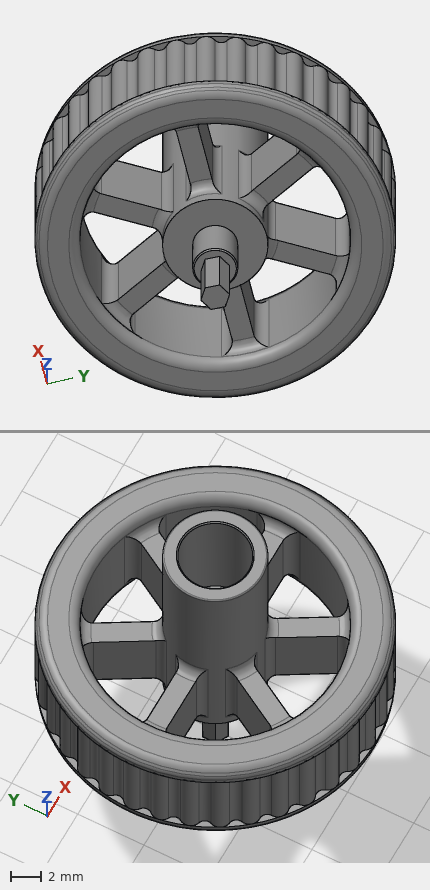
import cadquery as cq
import math

rim_height = 8.0
post_top = 16.5
pin_length = 3.17
hex_length = 3.85

rim_radius = 12.0
rim_bore_radius = 9.0
rim_chamfer = 0.5
rim_face_blend = 0.8
rim_side_blend = 0.4
rim_bore_fillet = 0.75

ridge_count = 36
ridge_round = 0.77
groove_round = 0.55
flange_height = 1.0
flute_length = rim_height - 2 * flange_height

spoke_count = 6
spoke_width = 1.5
spoke_recess = 1.5
spoke_end_fillet = 0.72
window_corner = 0.75

post_radius = 3.5
bore_radius = 2.5
bore_depth = post_top - rim_height
pin_diameter = 3.0
hex_across_flats = 1.7
edge_break = 0.1


def rim():
    """Ring with softened outer chamfers and rounded bore edges."""
    ring = cq.Workplane("XY").circle(rim_radius).extrude(rim_height)
    ring = ring.faces("|Z").edges().chamfer(rim_chamfer)
    ring = ring.faces("|Z").edges().fillet(rim_face_blend)
    ring = ring.faces("%CYLINDER").edges("%CIRCLE").fillet(rim_side_blend)
    bore = cq.Workplane("XY").circle(rim_bore_radius).extrude(rim_height)
    ring = ring.cut(bore)
    bore_edges = cq.selectors.RadiusNthSelector(0)
    return ring.faces("|Z").edges(bore_edges).fillet(rim_bore_fillet)


def polar(radius, angle):
    return (radius * math.cos(angle), radius * math.sin(angle))


def fluted_core():
    """Prism whose outline alternates tangent ridge and groove arcs."""
    half_pitch = math.pi / ridge_count
    ridge_centre = rim_radius - ridge_round
    reach = ridge_round + groove_round
    offset = ridge_centre * math.sin(half_pitch)
    groove_centre = ridge_centre * math.cos(half_pitch) + math.sqrt(reach**2 - offset**2)
    share = ridge_round / reach
    groove_x, groove_y = polar(groove_centre, half_pitch)
    blend_x = ridge_centre + share * (groove_x - ridge_centre)
    blend_y = share * groove_y
    blend_radius = math.hypot(blend_x, blend_y)
    blend_angle = math.atan2(blend_y, blend_x)

    outline = cq.Workplane("XY").workplane(offset=flange_height)
    outline = outline.moveTo(*polar(blend_radius, -blend_angle))
    for index in range(ridge_count):
        ridge = 2 * half_pitch * index
        groove = ridge + half_pitch
        outline = outline.threePointArc(
            polar(rim_radius, ridge), polar(blend_radius, ridge + blend_angle)
        )
        outline = outline.threePointArc(
            polar(groove_centre - groove_round, groove),
            polar(blend_radius, groove + half_pitch - blend_angle),
        )
    return outline.close().extrude(flute_length)


def grip_cutter():
    """Material removed between the rim cylinder and the fluted outline."""
    band = (
        cq.Workplane("XY")
        .workplane(offset=flange_height)
        .circle(rim_radius + rim_chamfer)
        .extrude(flute_length)
    )
    return band.cut(fluted_core())


def windows():
    """Openings between the spokes, with rounded corners."""
    openings = (
        cq.Workplane("XY").circle(rim_bore_radius).circle(post_radius).extrude(rim_height)
    )
    for index in range(spoke_count // 2):
        bar = (
            cq.Workplane("XY")
            .rect(2 * rim_radius, spoke_width)
            .extrude(rim_height)
            .rotate((0, 0, 0), (0, 0, 1), index * 360 / spoke_count)
        )
        openings = openings.cut(bar)
    return openings.edges("|Z").fillet(window_corner)


def post():
    """Hub and post with a rounded upper edge."""
    body = cq.Workplane("XY").circle(post_radius).extrude(post_top)
    return body.faces(">Z").edges().fillet(edge_break)


def bore_cutter():
    """Blind bore with a small chamfer at its mouth."""
    bore = (
        cq.Workplane("XY")
        .workplane(offset=post_top)
        .circle(bore_radius)
        .extrude(-bore_depth)
    )
    mouth = (
        cq.Workplane("XY")
        .workplane(offset=post_top)
        .circle(bore_radius + edge_break)
        .workplane(offset=-edge_break)
        .circle(bore_radius)
        .loft()
    )
    return bore.union(mouth)


def pin():
    """Round pin below the hub, ending in a hexagonal tip with a corner toward -Y."""
    shank = cq.Workplane("XY").circle(pin_diameter / 2).extrude(-pin_length)
    shank = shank.faces("<Z").edges().chamfer(edge_break)
    hex_across_corners = hex_across_flats / math.cos(math.pi / 6)
    tip = (
        cq.Workplane("XY")
        .workplane(offset=-pin_length)
        .transformed(rotate=(0, 0, 90))
        .polygon(6, hex_across_corners)
        .extrude(-hex_length)
    )
    return shank.union(tip)


def wheel():
    """Rim, web and hub joined with fillets, then opened into spokes."""
    web = (
        cq.Workplane("XY")
        .workplane(offset=spoke_recess)
        .circle(rim_bore_radius)
        .extrude(rim_height - 2 * spoke_recess)
    )
    body = rim().union(web).union(post())
    margin = 0.02
    for height in (spoke_recess, rim_height - spoke_recess):
        on_web_face = cq.selectors.BoxSelector(
            (-margin, -margin, height - margin), (margin, margin, height + margin)
        )
        body = body.edges("%CIRCLE").edges(on_web_face).fillet(spoke_end_fillet)
    return body.cut(windows())


result = wheel().cut(grip_cutter()).cut(bore_cutter()).union(pin())